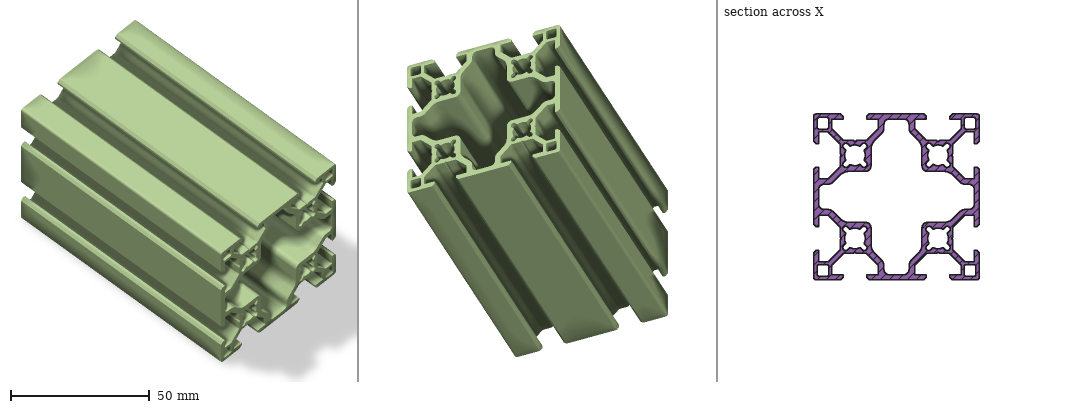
import cadquery as cq
import math

LENGTH = 100.0
MODULE = 30.0
SIDE = 2 * MODULE
HALF_SIDE = SIDE / 2
CORE_CENTER = MODULE / 2
OUTER_FILLET = 1.0

LIP_THICKNESS = 2.0
LIP_CHAMFER = 1.0
SLOT_OPENING = 8.3
SLOT_WIDTH = 16.65
SLOT_DEPTH = 9.55
SLOT_FLOOR_WIDTH = 8.2
GROOVE_WIDTH = 1.2
GROOVE_DEPTH = 0.45

CORNER_WALL = 1.4
CORNER_HOLE_SIZE = 4.1
CORNER_HOLE_FILLET = 0.7

BORE_DIAMETER = 7.3
LOBE_WIDTH = 2.0
LOBE_REACH = 4.3

WEB_THICKNESS = 2.25
CAVITY_CORE_OFFSET = 9.1
ARM_END_FILLET = 1.75
ARM_BEND_FILLET = 3.0
CORE_BEND_FILLET = 4.5
CORE_FILLET = 2.2

MATCH_TOLERANCE = 0.01


def prism(points):
    """Prism along the full length with the given YZ outline."""
    return cq.Workplane("YZ").polyline(points).close().extrude(LENGTH)


def bar():
    square = cq.Workplane("YZ").rect(SIDE, SIDE).extrude(LENGTH)
    return square.edges("|X").fillet(OUTER_FILLET)


def slot():
    """Void of one T-slot opening towards +Z, with a marking groove in its floor."""
    floor_z = HALF_SIDE - SLOT_DEPTH
    slope_top_z = floor_z + (SLOT_WIDTH - SLOT_FLOOR_WIDTH) / 2
    half_outline = [
        (GROOVE_WIDTH / 2, floor_z),
        (SLOT_FLOOR_WIDTH / 2, floor_z),
        (SLOT_WIDTH / 2, slope_top_z),
        (SLOT_WIDTH / 2, HALF_SIDE - LIP_THICKNESS),
        (SLOT_OPENING / 2, HALF_SIDE - LIP_THICKNESS),
        (SLOT_OPENING / 2, HALF_SIDE - LIP_CHAMFER),
        (SLOT_OPENING / 2 + LIP_CHAMFER, HALF_SIDE),
    ]
    mirrored = [(-y, z) for y, z in reversed(half_outline)]
    groove_tip = (0, floor_z - GROOVE_DEPTH)
    return prism([groove_tip] + half_outline + mirrored).translate((0, CORE_CENTER, 0))


def corner_hole():
    center = HALF_SIDE - CORNER_WALL - CORNER_HOLE_SIZE / 2
    hole = cq.Workplane("YZ").center(center, center).rect(CORNER_HOLE_SIZE, CORNER_HOLE_SIZE)
    return hole.extrude(LENGTH).edges("|X").fillet(CORNER_HOLE_FILLET)


def core_bore():
    plane = cq.Workplane("YZ").center(CORE_CENTER, CORE_CENTER)
    bore = plane.circle(BORE_DIAMETER / 2).extrude(LENGTH)
    end_center = LOBE_REACH - LOBE_WIDTH / 2
    lobe_length = 2 * math.sqrt(2) * end_center + LOBE_WIDTH
    for angle in (45, -45):
        bore = bore.union(plane.slot2D(lobe_length, LOBE_WIDTH, angle).extrude(LENGTH))
    return bore


def round_edges(solid, corners, radius):
    """Fillet the lengthwise edges at the given (y, z) corners and their mirror images."""
    def is_chosen(edge):
        middle = edge.Center()
        distances = [math.hypot(abs(middle.y) - y, abs(middle.z) - z) for y, z in corners]
        return min(distances) < MATCH_TOLERANCE

    chosen = [edge for edge in solid.edges("|X").vals() if is_chosen(edge)]
    return solid.newObject(chosen).fillet(radius)


def cavity():
    """Cross-shaped void whose arms follow the slot walls at the web thickness."""
    arm_end = HALF_SIDE - LIP_THICKNESS
    arm_half_width = CORE_CENTER - SLOT_WIDTH / 2 - WEB_THICKNESS
    slot_slope_sum = (CORE_CENTER - SLOT_FLOOR_WIDTH / 2) + (HALF_SIDE - SLOT_DEPTH)
    slope_sum = slot_slope_sum - math.sqrt(2) * WEB_THICKNESS
    upper_bend = (arm_half_width, slope_sum - arm_half_width)
    lower_bend = (CAVITY_CORE_OFFSET, slope_sum - CAVITY_CORE_OFFSET)
    end_corner = (arm_half_width, arm_end)
    core_corner = (CAVITY_CORE_OFFSET, CAVITY_CORE_OFFSET)

    half_arm = [end_corner, upper_bend, lower_bend]
    half_arm_swapped = [(z, y) for y, z in reversed(half_arm)]
    quarter = half_arm + [core_corner] + half_arm_swapped
    right_half = quarter + [(y, -z) for y, z in reversed(quarter)]
    outline = right_half + [(-y, z) for y, z in reversed(right_half)]

    void = prism(outline)
    void = round_edges(void, [end_corner, end_corner[::-1]], ARM_END_FILLET)
    void = round_edges(void, [upper_bend, upper_bend[::-1]], ARM_BEND_FILLET)
    void = round_edges(void, [lower_bend, lower_bend[::-1]], CORE_BEND_FILLET)
    return round_edges(void, [core_corner], CORE_FILLET)


def make_profile():
    body = bar().cut(cavity())
    right_slot = slot()
    left_slot = right_slot.mirror("XZ")
    for quarter_turn in range(4):
        for void in (right_slot, left_slot, corner_hole(), core_bore()):
            body = body.cut(void.rotate((0, 0, 0), (1, 0, 0), 90 * quarter_turn))
    return body.translate((-LENGTH / 2, 0, 0))


result = make_profile()